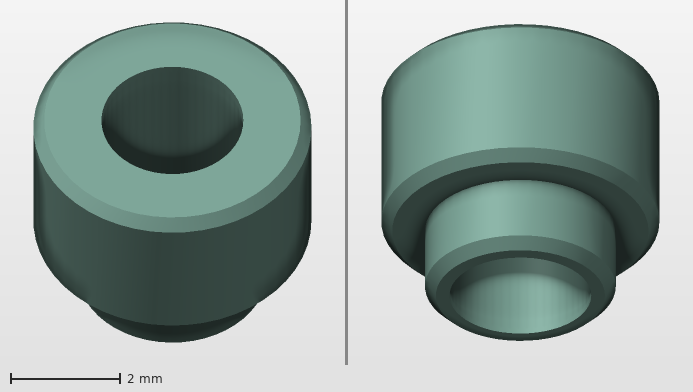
import cadquery as cq

body_diameter = 5.1
neck_diameter = 3.5
bore_diameter = 2.6
total_height = 4.4
neck_height = 1.4
edge_chamfer = 0.2

body_height = total_height - neck_height

neck = (
    cq.Workplane("XY")
    .circle(neck_diameter / 2)
    .extrude(neck_height)
    .faces("<Z")
    .chamfer(edge_chamfer)
)

body = (
    cq.Workplane("XY")
    .workplane(offset=neck_height)
    .circle(body_diameter / 2)
    .extrude(body_height)
    .faces("<Z or >Z")
    .chamfer(edge_chamfer)
)

bore = cq.Workplane("XY").circle(bore_diameter / 2).extrude(total_height)

result = neck.union(body).cut(bore)